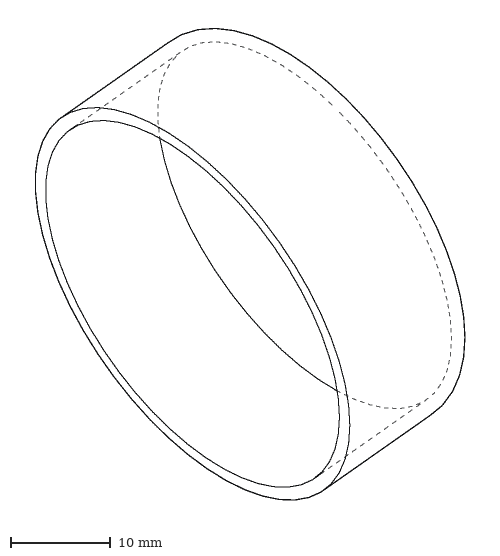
import cadquery as cq
import math

outer_radius = 22.8
total_length = 20.0
wall = 1.5
skirt_length = 15.0
dome_radius = 77.98

rim_y = -total_length / 2
apex_y = total_length / 2
shoulder_y = rim_y + skirt_length
dome_center_y = apex_y - dome_radius
inner_radius = outer_radius - wall
inner_dome_radius = dome_radius - wall

center_rise = shoulder_y - dome_center_y
shoulder_radius = (dome_radius**2 - center_rise**2 - outer_radius**2) / (2 * (dome_radius - outer_radius))
shoulder_center_radius = outer_radius - shoulder_radius
dome_edge_angle = math.atan2(shoulder_center_radius, center_rise)


def dome_point(sphere_radius, angle):
    """Point of a dome section, at an angle from the Y axis about the dome centre."""
    return (sphere_radius * math.sin(angle), dome_center_y + sphere_radius * math.cos(angle))


def shoulder_point(angle):
    """Point of the shoulder section, at an angle from the Y axis about the shoulder centre."""
    return (
        shoulder_center_radius + shoulder_radius * math.sin(angle),
        shoulder_y + shoulder_radius * math.cos(angle),
    )


inner_edge_angle = math.asin(inner_radius / inner_dome_radius)

half_section = (
    cq.Workplane("XY")
    .moveTo(inner_radius, rim_y)
    .lineTo(outer_radius, rim_y)
    .lineTo(outer_radius, shoulder_y)
    .threePointArc(
        shoulder_point((dome_edge_angle + math.pi / 2) / 2),
        shoulder_point(dome_edge_angle),
    )
    .threePointArc(dome_point(dome_radius, dome_edge_angle / 2), (0, apex_y))
    .lineTo(0, apex_y - wall)
    .threePointArc(
        dome_point(inner_dome_radius, inner_edge_angle / 2),
        dome_point(inner_dome_radius, inner_edge_angle),
    )
    .close()
)

result = half_section.revolve(360, (0, 0, 0), (0, 1, 0))